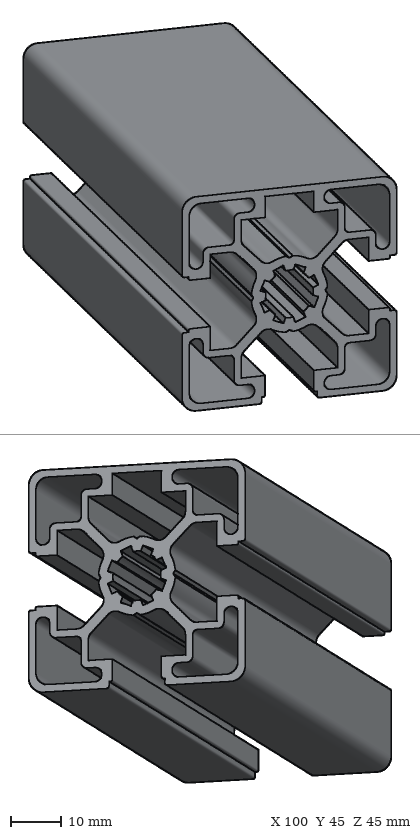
import cadquery as cq
import math

length = 100.0
width = 45.0
corner_radius = 3.0
wall = 1.5
half_width = width / 2

mouth_half = 5.1
lip_inner_face = 16.6
cavity_half = 10.1
cavity_corner_radius = 2.0
mouth_step_half = 5.8
mouth_step_depth = 1.4
mouth_step_radius = 0.4
mouth_edge_radius = 0.5

core_radius = 8.0
core_fillet = 2.0
web_thickness = 2.2
web_offset = web_thickness / math.sqrt(2)
core_groove_half = 0.7
core_groove_depth = 0.45

pocket_outer = half_width - wall
pocket_inner = cavity_half + wall
pocket_neck = lip_inner_face + wall
pocket_end = 7.3
pocket_corner_radius = 2.5
pocket_bend_radius = 1.2
pocket_heel_radius = 1.0

tooth_count = 8
tooth_tip_radius = 5.0
groove_floor = 6.1
groove_width = 2.3

section = cq.Workplane("YZ")


def on_side(void, side):
    """Turn a void made for the +Y side by quarter turns about the X axis."""
    return void.rotate((0, 0, 0), (1, 0, 0), 90 * side)


def fillet_corner(body, y, z, radius):
    """Round the lengthwise edge of an extruded body that passes through the given Y and Z."""
    return body.edges(cq.NearestToPointSelector((length / 2, y, z))).fillet(radius)


def slot_cavity():
    """Cavity behind the lips of the +Y side, down to the core tube."""
    knee = cavity_half + web_offset
    fillet_reach = core_radius + core_fillet
    difference = web_offset + math.sqrt(2) * core_fillet
    total = math.sqrt(2 * fillet_reach**2 - difference**2)
    center_y = (total + difference) / 2
    center_z = (total - difference) / 2

    def fillet_point(degrees):
        angle = math.radians(degrees)
        return (center_y + core_fillet * math.cos(angle), center_z + core_fillet * math.sin(angle))

    web_normal = 135
    core_angle = math.degrees(math.atan2(center_z, center_y))
    web_end = fillet_point(web_normal)
    fillet_middle = fillet_point((web_normal + 180 + core_angle) / 2)
    fillet_end = fillet_point(180 + core_angle)
    groove_edge = (math.sqrt(core_radius**2 - core_groove_half**2), core_groove_half)
    arc_angle = math.radians(core_angle) / 2
    core_middle = (core_radius * math.cos(arc_angle), core_radius * math.sin(arc_angle))

    def below(point):
        return (point[0], -point[1])

    outline = (
        section.moveTo(lip_inner_face, -cavity_half)
        .lineTo(lip_inner_face, cavity_half)
        .lineTo(knee, cavity_half)
        .lineTo(*web_end)
        .threePointArc(fillet_middle, fillet_end)
        .threePointArc(core_middle, groove_edge)
        .lineTo(core_radius - core_groove_depth, 0)
        .lineTo(*below(groove_edge))
        .threePointArc(below(core_middle), below(fillet_end))
        .threePointArc(below(fillet_middle), below(web_end))
        .lineTo(knee, -cavity_half)
        .close()
    )
    cavity = outline.extrude(length)
    for z in (cavity_half, -cavity_half):
        cavity = fillet_corner(cavity, knee, z, cavity_corner_radius)
    return cavity


def slot_mouth(outer_limit):
    """Straight gap between the lips of the +Y side, from the cavity out to the given distance."""
    depth = outer_limit - cavity_half
    return section.center(cavity_half + depth / 2, 0).rect(depth, 2 * mouth_half).extrude(length)


def mouth_step():
    """Stepped widening at the outer face of the +Y slot, with rounded outer edges and step edges."""
    floor = half_width - mouth_step_depth
    step = mouth_half + mouth_step_radius
    edge_start = half_width - mouth_edge_radius
    edge_top = mouth_step_half + mouth_edge_radius
    diagonal = math.sqrt(0.5)
    edge_middle = (
        edge_start + mouth_edge_radius * diagonal,
        edge_top - mouth_edge_radius * diagonal,
    )
    step_middle = (
        floor - mouth_step_radius * (1 - diagonal),
        step - mouth_step_radius * diagonal,
    )
    half = (
        section.moveTo(floor - mouth_step_radius, 0)
        .lineTo(floor - mouth_step_radius, mouth_half)
        .threePointArc(step_middle, (floor, step))
        .lineTo(floor, mouth_step_half)
        .lineTo(edge_start, mouth_step_half)
        .threePointArc(edge_middle, (half_width, edge_top))
        .lineTo(half_width, 0)
        .close()
        .extrude(length)
    )
    return half.union(half.mirror("XY"))


def corner_pocket():
    """L-shaped hollow in the +Y +Z corner with two round-ended legs."""
    end_radius = (pocket_outer - pocket_neck) / 2
    leg_start = pocket_end + end_radius
    leg_middle = pocket_neck + end_radius
    outline = (
        section.moveTo(pocket_outer, leg_start)
        .lineTo(pocket_outer, pocket_outer)
        .lineTo(leg_start, pocket_outer)
        .threePointArc((pocket_end, leg_middle), (leg_start, pocket_neck))
        .lineTo(pocket_inner, pocket_neck)
        .lineTo(pocket_inner, pocket_inner)
        .lineTo(pocket_neck, pocket_inner)
        .lineTo(pocket_neck, leg_start)
        .threePointArc((leg_middle, pocket_end), (pocket_outer, leg_start))
        .close()
    )
    rounded_corners = (
        (pocket_outer, pocket_outer, pocket_corner_radius),
        (pocket_inner, pocket_neck, pocket_bend_radius),
        (pocket_neck, pocket_inner, pocket_bend_radius),
        (pocket_inner, pocket_inner, pocket_heel_radius),
    )
    pocket = outline.extrude(length)
    for y, z, radius in rounded_corners:
        pocket = fillet_corner(pocket, y, z, radius)
    return pocket


def toothed_bore():
    """Axial bore with teeth left between evenly spaced grooves."""
    tooth_pitch = 360 / tooth_count
    bore = section.circle(tooth_tip_radius).extrude(length)
    groove = section.center(groove_floor / 2, 0).rect(groove_floor, groove_width).extrude(length)
    for index in range(tooth_count):
        bore = bore.union(groove.rotate((0, 0, 0), (1, 0, 0), (index + 0.5) * tooth_pitch))
    return bore


result = section.rect(width, width).extrude(length).edges("|X").fillet(corner_radius)

closed_side = 1
slot_void = slot_cavity()
pocket_void = corner_pocket()
for side in range(4):
    result = result.cut(on_side(slot_void, side)).cut(on_side(pocket_void, side))
    if side == closed_side:
        result = result.cut(on_side(slot_mouth(pocket_outer), side))
    else:
        result = result.cut(on_side(slot_mouth(half_width), side)).cut(on_side(mouth_step(), side))

result = result.cut(toothed_bore())